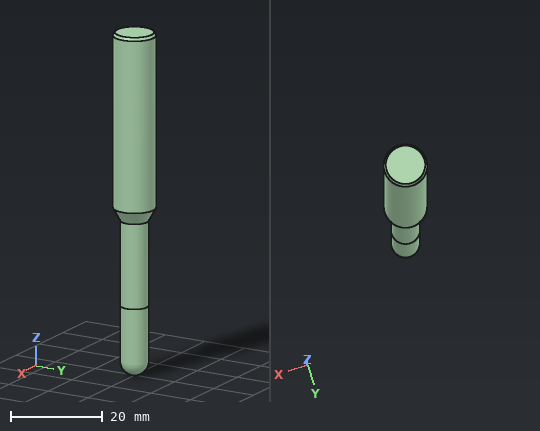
import cadquery as cq
import math

total_length = 77.8
shank_diameter = 9.5
neck_diameter = 6.3
tip_diameter = neck_diameter
tip_length = 15.8
neck_top = 35.1
cone_top = 38.05
chamfer_width = 0.5
chamfer_height = 0.7

shank_radius = shank_diameter / 2
neck_radius = neck_diameter / 2
tip_radius = tip_diameter / 2


def revolve_about_z(profile):
    """Turn a closed XZ profile through a full circle about the Z axis."""
    return profile.close().revolve(360, (0, 0, 0), (0, 1, 0))


def make_holder():
    """Chamfered shank that narrows through a cone to a slim neck."""
    profile = (
        cq.Workplane("XZ")
        .moveTo(0, tip_length)
        .lineTo(neck_radius, tip_length)
        .lineTo(neck_radius, neck_top)
        .lineTo(shank_radius, cone_top)
        .lineTo(shank_radius, total_length - chamfer_height)
        .lineTo(shank_radius - chamfer_width, total_length)
        .lineTo(0, total_length)
    )
    return revolve_about_z(profile)


def make_ball_tip():
    """Round cutting tip with a hemispherical lower end."""
    arc_middle = tip_radius * math.sqrt(0.5)
    profile = (
        cq.Workplane("XZ")
        .moveTo(0, 0)
        .threePointArc((arc_middle, tip_radius - arc_middle), (tip_radius, tip_radius))
        .lineTo(tip_radius, tip_length)
        .lineTo(0, tip_length)
    )
    return revolve_about_z(profile)


holder = make_holder()
ball_tip = make_ball_tip()

result = cq.Compound.makeCompound([holder.val(), ball_tip.val()])